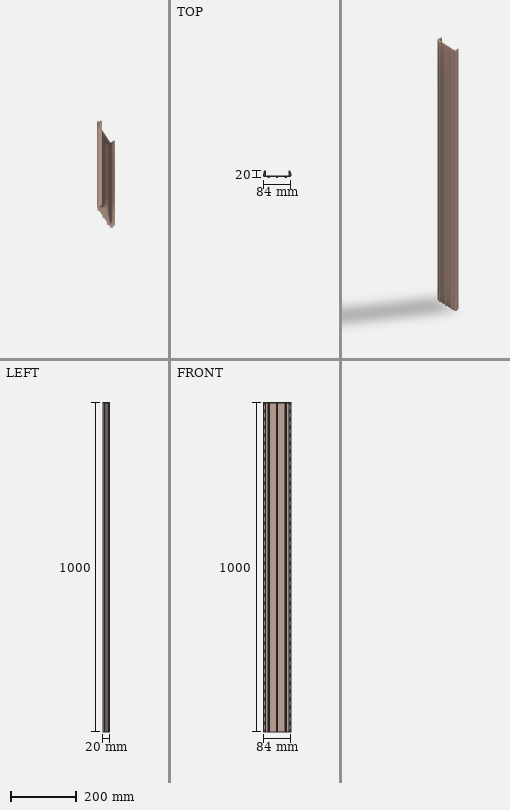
import cadquery as cq

length = 1000
width = 84.0
depth = 20.0

web_thickness = 2.0
rib_height = 3.2
center_rib_width = 3.0
side_rib_width = 4.5
side_rib_taper = 1.0
side_rib_offset = 26.0

bend_radius = 6.0
groove_depth = 4.5
groove_height = 4.5
barb_height = 4.5
tip_inset = 4.0
tip_width = 2.5
taper_slope = 0.45

front = -depth / 2
back = depth / 2
web_front = front + rib_height
web_back = web_front + web_thickness
bend_top = web_front + bend_radius
barb_base = back - barb_height
groove_bottom = barb_base - groove_height

half_width = width / 2
tip_outer = half_width - tip_inset
flange_inner = tip_outer - tip_width
barb_outer = tip_outer + taper_slope * barb_height
groove_floor_back = half_width - groove_depth
groove_floor_front = groove_floor_back + taper_slope * groove_height


def half_channel():
    """Half of the channel on the +X side: web, bend and barbed flange."""
    return (
        cq.Workplane("XY")
        .moveTo(0, web_front)
        .lineTo(half_width - bend_radius, web_front)
        .radiusArc((half_width, bend_top), -bend_radius)
        .lineTo(half_width, groove_bottom)
        .lineTo(groove_floor_front, groove_bottom)
        .lineTo(groove_floor_back, barb_base)
        .lineTo(barb_outer, barb_base)
        .lineTo(tip_outer, back)
        .lineTo(flange_inner, back)
        .lineTo(flange_inner, web_back)
        .lineTo(0, web_back)
        .close()
        .extrude(length / 2, both=True)
    )


def rib(x_center, base_width, inner_taper=0):
    """Full-length rib on the web; its face nearer X = 0 leans by inner_taper towards the crest."""
    inner = x_center - base_width / 2
    outer = x_center + base_width / 2
    outline = [
        (inner, web_back),
        (inner, web_front),
        (inner + inner_taper, front),
        (outer, front),
        (outer, web_back),
    ]
    return cq.Workplane("XY").polyline(outline).close().extrude(length / 2, both=True)


right_half = half_channel().union(rib(side_rib_offset, side_rib_width, side_rib_taper))
result = right_half.union(right_half.mirror("YZ"))
result = result.union(rib(0, center_rib_width))